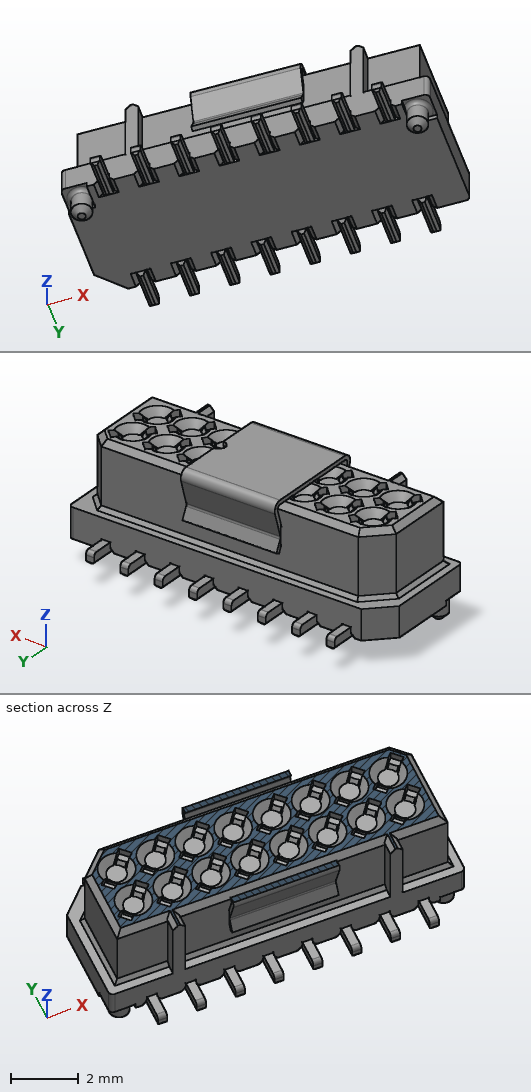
import cadquery as cq
import math

BASE_LENGTH = 11.45
BASE_WIDTH = 4.0
BASE_HEIGHT = 1.075
BASE_CORNER_RADIUS = 0.15
KEY_CHAMFER = 0.8
TOWER_LENGTH = 10.65
TOWER_WIDTH = 3.2
TOWER_TOP = 3.4
TOWER_SMALL_CHAMFER = 0.5
TOWER_TOP_CHAMFER = 0.2
FOOT_CHAMFER = 0.13

RIB_X = 3.5
RIB_WIDTH = 0.4
RIB_CHAMFER = 0.16

PITCH = 1.25
COLUMNS = 8
CONTACT_WIDTH = 0.3
FUNNEL_TOP_RADIUS = 0.56
FUNNEL_FLOOR_RADIUS = 0.31
FUNNEL_DEPTH = FUNNEL_TOP_RADIUS - FUNNEL_FLOOR_RADIUS
SLOT_WIDTH = 0.4
SLOT_HALF_LENGTH = 0.7
SLOT_ANGLE = 45
FINGER_INNER = 0.29
FINGER_OUTER = 0.42

TAIL_TIP_Y = 2.8
TAIL_TOP = 0.32
TAIL_BOTTOM = -0.1
TAIL_EDGE_CHAMFER = 0.1
TAIL_END_CHAMFER = 0.07
TAIL_TIP_RADIUS = 0.14
TAIL_EMBED = 0.1
TAIL_OPENING_Y = 1.5
TAIL_OPENING_GAP = 0.02
TAIL_OPENING_FLARE = 0.14

PEG_X = 5.22
PEG_Y = -1.5
PEG_RADIUS = 0.32
PEG_BOTTOM = -0.7
PEG_TIP_CHAMFER = 0.2
PEG_ROOT_RADIUS = 0.13
PEG_NOTCH_HEIGHT = 0.17

CAP_LENGTH = 3.42
CAP_THICKNESS = 0.15
CAP_MID_BEND_RADIUS = 0.2
CAP_MID_Z = TOWER_TOP + CAP_THICKNESS / 2
CAP_SHOULDER_Y = 1.908
CAP_ELBOW_Y = 1.536
CAP_ELBOW_Z = 2.26
CAP_TIP_Y = 1.76
CAP_TIP_Z = 1.79
CAP_NOTCH_RADIUS = 0.24


def tower_outline(outset, z):
    """Tower outline grown by outset on all sides, with its two cut corners."""
    half_x = TOWER_LENGTH / 2 + outset
    half_y = TOWER_WIDTH / 2 + outset
    corner_growth = outset * (2 - math.sqrt(2))
    key = KEY_CHAMFER + corner_growth
    small = TOWER_SMALL_CHAMFER + corner_growth
    points = [
        (-half_x, -half_y),
        (half_x, -half_y),
        (half_x, half_y - small),
        (half_x - small, half_y),
        (-half_x + key, half_y),
        (-half_x, half_y - key),
    ]
    return cq.Wire.makePolygon([cq.Vector(x, y, z) for x, y in points], close=True)


def tower_section(z_low, outset_low, z_high, outset_high):
    """Straight or sloped length of the tower between two levels."""
    wires = [tower_outline(outset_low, z_low), tower_outline(outset_high, z_high)]
    return cq.Workplane(cq.Solid.makeLoft(wires, True))


def make_block():
    """Base and tower."""
    base = cq.Workplane("XY").box(BASE_LENGTH, BASE_WIDTH, BASE_HEIGHT, centered=(True, True, False))
    base = base.edges("|Z and <X and >Y").chamfer(KEY_CHAMFER)
    base = base.edges("|Z and (<Y or >X)").fillet(BASE_CORNER_RADIUS)
    foot_top = BASE_HEIGHT + FOOT_CHAMFER
    shoulder = TOWER_TOP - TOWER_TOP_CHAMFER
    foot = tower_section(BASE_HEIGHT, FOOT_CHAMFER, foot_top, 0)
    wall = tower_section(foot_top, 0, shoulder, 0)
    crown = tower_section(shoulder, 0, TOWER_TOP, -TOWER_TOP_CHAMFER)
    return base.union(foot).union(wall).union(crown)


def make_rib(x):
    """Upright rib from the tower out to the front of the base."""
    rib_back = -TOWER_WIDTH / 2 + TOWER_TOP_CHAMFER
    depth = BASE_WIDTH / 2 + rib_back
    height = TOWER_TOP - BASE_HEIGHT
    rib = cq.Workplane("XY").box(RIB_WIDTH, depth, height, centered=(True, False, False))
    rib = rib.edges(">Z and |Y").chamfer(RIB_CHAMFER)
    return rib.translate((x, -BASE_WIDTH / 2, BASE_HEIGHT))


def make_contact_hole():
    """Cutter for one funnel and its slot, leaving the two contact fingers standing."""
    floor = TOWER_TOP - FUNNEL_DEPTH
    slot = (
        cq.Workplane("XY", origin=(0, 0, floor))
        .rect(2 * SLOT_HALF_LENGTH, SLOT_WIDTH)
        .extrude(FUNNEL_DEPTH)
    )
    finger_middle = (FINGER_INNER + FINGER_OUTER) / 2
    fingers = (
        cq.Workplane("XY", origin=(0, 0, floor))
        .pushPoints([(-finger_middle, 0), (finger_middle, 0)])
        .rect(FINGER_OUTER - FINGER_INNER, CONTACT_WIDTH)
        .extrude(FUNNEL_DEPTH)
    )
    funnel = cq.Workplane(
        cq.Solid.makeCone(FUNNEL_FLOOR_RADIUS, FUNNEL_TOP_RADIUS, FUNNEL_DEPTH, cq.Vector(0, 0, floor))
    )
    hole = slot.cut(fingers).union(funnel)
    return hole.rotate((0, 0, 0), (0, 0, 1), SLOT_ANGLE)


def make_tail():
    """Solder tail at x = 0 on the +Y side."""
    chamfer = TAIL_EDGE_CHAMFER
    start = TAIL_OPENING_Y - TAIL_EMBED
    half_width = CONTACT_WIDTH / 2
    side = (
        cq.Workplane("YZ", origin=(-half_width, 0, 0))
        .moveTo(start, TAIL_TOP)
        .lineTo(TAIL_TIP_Y - TAIL_TIP_RADIUS, TAIL_TOP)
        .radiusArc((TAIL_TIP_Y, TAIL_TOP - TAIL_TIP_RADIUS), TAIL_TIP_RADIUS)
        .lineTo(TAIL_TIP_Y, TAIL_BOTTOM + TAIL_END_CHAMFER)
        .lineTo(TAIL_TIP_Y - TAIL_END_CHAMFER, TAIL_BOTTOM)
        .lineTo(TAIL_OPENING_Y - TAIL_BOTTOM, TAIL_BOTTOM)
        .lineTo(TAIL_OPENING_Y, 0)
        .lineTo(start, 0)
        .close()
        .extrude(CONTACT_WIDTH)
    )
    end = (
        cq.Workplane("XZ")
        .polyline([
            (-half_width, TAIL_TOP),
            (half_width, TAIL_TOP),
            (half_width, TAIL_BOTTOM + chamfer),
            (half_width - chamfer, TAIL_BOTTOM),
            (-half_width + chamfer, TAIL_BOTTOM),
            (-half_width, TAIL_BOTTOM + chamfer),
        ])
        .close()
        .extrude(-TAIL_TIP_Y)
    )
    return side.intersect(end)


def make_tail_opening():
    """Cutter that clears the +Y wall around a tail at x = 0, flaring out at the underside."""
    half_width = CONTACT_WIDTH / 2 + TAIL_OPENING_GAP
    top = TAIL_TOP + TAIL_OPENING_GAP
    flare = TAIL_OPENING_FLARE
    return (
        cq.Workplane("XZ", origin=(0, TAIL_OPENING_Y, 0))
        .polyline([
            (-half_width, top),
            (half_width, top),
            (half_width, flare),
            (half_width + flare, 0),
            (-half_width - flare, 0),
            (-half_width, flare),
        ])
        .close()
        .extrude(TAIL_OPENING_Y - BASE_WIDTH / 2)
    )


def make_peg_notch():
    """Cutter for the open base corner above the peg at -X."""
    length = BASE_LENGTH / 2 - PEG_X + PEG_RADIUS
    width = BASE_WIDTH / 2 + PEG_Y + PEG_RADIUS
    notch = cq.Workplane("XY").box(length, width, PEG_NOTCH_HEIGHT, centered=False)
    return notch.translate((-BASE_LENGTH / 2, -BASE_WIDTH / 2, 0))


def make_peg():
    """Peg at -X with a pointed tip and a flared root."""
    root_radius = PEG_RADIUS + PEG_ROOT_RADIUS
    root_bottom = PEG_NOTCH_HEIGHT - PEG_ROOT_RADIUS
    peg = (
        cq.Workplane("XZ")
        .moveTo(0, PEG_BOTTOM)
        .lineTo(PEG_RADIUS - PEG_TIP_CHAMFER, PEG_BOTTOM)
        .lineTo(PEG_RADIUS, PEG_BOTTOM + PEG_TIP_CHAMFER)
        .lineTo(PEG_RADIUS, root_bottom)
        .radiusArc((root_radius, PEG_NOTCH_HEIGHT), PEG_ROOT_RADIUS)
        .lineTo(0, PEG_NOTCH_HEIGHT)
        .close()
        .revolve(360, (0, 0, 0), (0, 1, 0))
    )
    return peg.translate((-PEG_X, PEG_Y, 0))


def make_cap():
    """Bent strip: flat top, two legs leaning in to the tower and flicking out at the tips."""
    half_path = [
        (CAP_SHOULDER_Y, CAP_MID_Z),
        (CAP_ELBOW_Y, CAP_ELBOW_Z),
        (CAP_TIP_Y, CAP_TIP_Z),
    ]
    path_points = [(-y, z) for y, z in reversed(half_path)] + half_path
    sharp_path = cq.Wire.makePolygon([cq.Vector(0, y, z) for y, z in path_points])
    bends = sharp_path.Vertices()[1:-1]
    path = sharp_path.fillet(CAP_MID_BEND_RADIUS, bends)
    start = cq.Plane(origin=path.startPoint(), xDir=(1, 0, 0), normal=path.tangentAt(0))
    strip = cq.Workplane(start).rect(CAP_LENGTH, CAP_THICKNESS).sweep(cq.Workplane(path))
    notch = (
        cq.Workplane("XY", origin=(CAP_LENGTH / 2, 0, TOWER_TOP))
        .circle(CAP_NOTCH_RADIUS)
        .extrude(CAP_THICKNESS)
    )
    return strip.cut(notch)


def make_housing():
    housing = make_block()
    for x in (-RIB_X, RIB_X):
        housing = housing.union(make_rib(x))

    notch = make_peg_notch()
    peg = make_peg()
    housing = housing.cut(notch).cut(notch.mirror("YZ"))
    housing = housing.union(peg).union(peg.mirror("YZ"))

    hole = make_contact_hole()
    opening = make_tail_opening()
    tail = make_tail()
    for column in range(COLUMNS):
        x = (column - (COLUMNS - 1) / 2) * PITCH
        for side in (-1, 1):
            housing = housing.cut(hole.translate((x, side * PITCH / 2, 0)))
            turn = 0 if side > 0 else 180
            side_opening = opening.rotate((0, 0, 0), (0, 0, 1), turn).translate((x, 0, 0))
            side_tail = tail.rotate((0, 0, 0), (0, 0, 1), turn).translate((x, 0, 0))
            housing = housing.cut(side_opening).union(side_tail)
    return housing


cap = make_cap()
housing = make_housing().cut(cap)

result = cq.Compound.makeCompound([housing.val(), cap.val()])